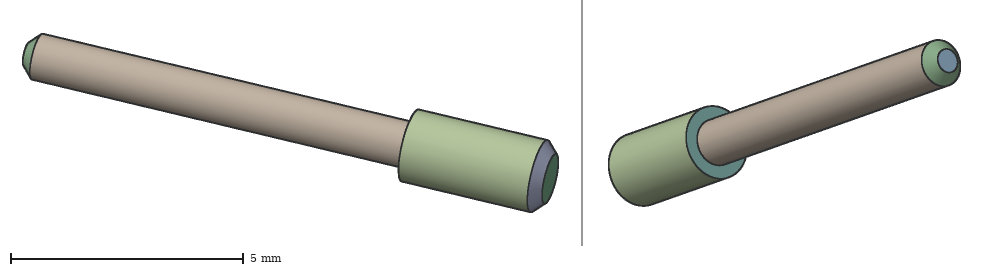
import cadquery as cq

TOTAL_LENGTH = 11.91
HEAD_LENGTH = 3.18
HEAD_DIAMETER = 1.6
PIN_DIAMETER = 1.02
END_CHAMFER = 0.25

pin_radius = PIN_DIAMETER / 2
head_radius = HEAD_DIAMETER / 2
shoulder_x = TOTAL_LENGTH - HEAD_LENGTH


def stepped_pin():
    """Revolve the half profile, with a chamfer at each end, about the X axis."""
    half_profile = (
        cq.Workplane("XY")
        .moveTo(0, 0)
        .lineTo(0, pin_radius - END_CHAMFER)
        .lineTo(END_CHAMFER, pin_radius)
        .lineTo(shoulder_x, pin_radius)
        .lineTo(shoulder_x, head_radius)
        .lineTo(TOTAL_LENGTH - END_CHAMFER, head_radius)
        .lineTo(TOTAL_LENGTH, head_radius - END_CHAMFER)
        .lineTo(TOTAL_LENGTH, 0)
        .close()
    )
    return half_profile.revolve(360, (0, 0, 0), (1, 0, 0))


result = stepped_pin()